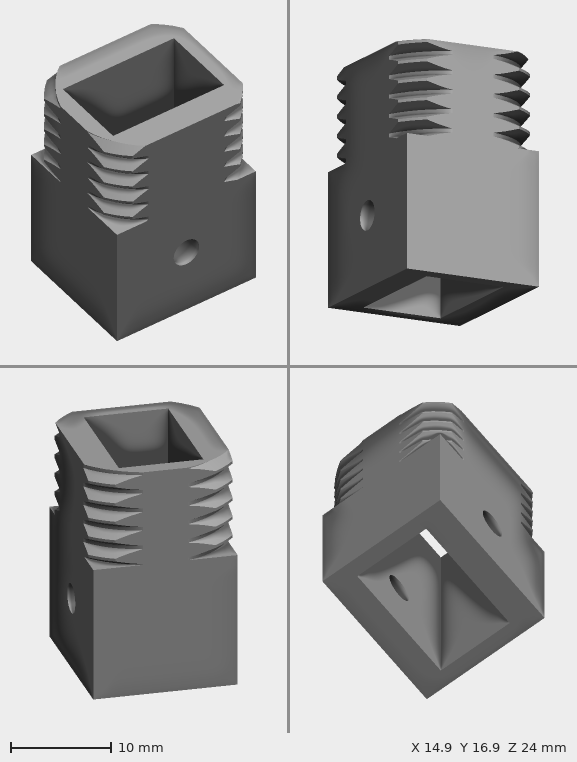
import cadquery as cq
import math

WIDTH_X = 14.9
DEPTH_Y = 16.9
HEIGHT = 24.0

BORE_X = 8.7
BORE_Y = 13.5
CROSS_HOLE_DIAMETER = 3.1
CROSS_HOLE_Z = 7.5

THREAD_LENGTH = 10.0
THREAD_TURNS = 5
MAJOR_RADIUS = 9.9
MINOR_RADIUS = 8.75
ROOT_FLAT = 0.38
FLANK_HALF_ANGLE = math.radians(30)
PITCH = THREAD_LENGTH / THREAD_TURNS
SHOULDER_Z = HEIGHT - THREAD_LENGTH

GROOVE_START_ANGLE = -90
RUN_OUT_TURNS = 1
CUTTER_OVERLAP = 0.1


def make_block(bottom_z, height):
    """Plain rectangular block standing on the given level."""
    return cq.Workplane("XY", origin=(0, 0, bottom_z)).rect(WIDTH_X, DEPTH_Y).extrude(height)


def make_groove_turn():
    """One turn of the helical V groove with a flat root, starting at the shoulder level.

    Its ends lie on the -Y side, where the block does not reach out to the groove.
    """
    outer_radius = MAJOR_RADIUS + CUTTER_OVERLAP
    root_half = ROOT_FLAT / 2
    mouth_half = root_half + (outer_radius - MINOR_RADIUS) * math.tan(FLANK_HALF_ANGLE)

    helix = cq.Wire.makeHelix(PITCH, PITCH, MINOR_RADIUS)
    turn = (
        cq.Workplane("XZ")
        .polyline([
            (MINOR_RADIUS, -root_half),
            (outer_radius, -mouth_half),
            (outer_radius, mouth_half),
            (MINOR_RADIUS, root_half),
        ])
        .close()
        .sweep(cq.Workplane(helix), isFrenet=True)
    )
    return turn.rotate((0, 0, 0), (0, 0, 1), GROOVE_START_ANGLE).translate((0, 0, SHOULDER_Z))


def make_threaded_neck():
    """Block whose corners are rounded to the crest circle and cut by the groove."""
    crest_cylinder = cq.Workplane("XY", origin=(0, 0, SHOULDER_Z)).circle(MAJOR_RADIUS).extrude(THREAD_LENGTH)
    neck = make_block(SHOULDER_Z, THREAD_LENGTH).intersect(crest_cylinder)
    groove_turn = make_groove_turn()
    for turn in range(-RUN_OUT_TURNS, THREAD_TURNS + RUN_OUT_TURNS):
        neck = neck.cut(groove_turn.translate((0, 0, turn * PITCH)))
    return neck


def make_bore():
    return cq.Workplane("XY").rect(BORE_X, BORE_Y).extrude(HEIGHT)


def make_cross_hole():
    hole = cq.Workplane("YZ").center(0, CROSS_HOLE_Z).circle(CROSS_HOLE_DIAMETER / 2)
    return hole.extrude(WIDTH_X / 2, both=True)


body = make_block(0, SHOULDER_Z).union(make_threaded_neck())
result = body.cut(make_bore()).cut(make_cross_hole())